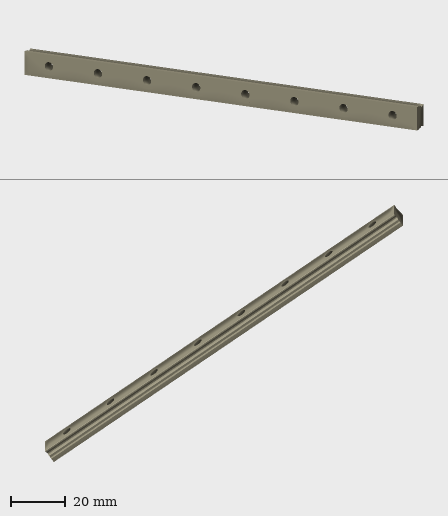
import cadquery as cq

length = 160.0
depth = 5.5
height = 9.0

hole_count = 8
hole_diameter = 3.4
hole_pitch = length / hole_count

back_chamfer = 0.2
back_land_width = 0.5
groove_width = 2.0
groove_floor_width = 0.5
shoulder_width = 0.8
step_width = 0.5

back_half_height = 4.2
groove_half_height = 3.5
shoulder_half_height = 4.2


def rail_body():
    """Extrude the grooved, stepped profile, symmetric about the XY plane."""
    back_y = depth / 2
    chamfer_end = back_y - back_chamfer
    groove_back = chamfer_end - back_land_width
    floor_back = groove_back - (groove_width - groove_floor_width) / 2
    floor_front = floor_back - groove_floor_width
    groove_front = groove_back - groove_width
    shoulder_front = groove_front - shoulder_width
    step_top = shoulder_front - step_width
    upper = [
        (back_y, back_half_height - back_chamfer),
        (chamfer_end, back_half_height),
        (groove_back, back_half_height),
        (floor_back, groove_half_height),
        (floor_front, groove_half_height),
        (groove_front, shoulder_half_height),
        (shoulder_front, shoulder_half_height),
        (step_top, height / 2),
        (-depth / 2, height / 2),
    ]
    lower = [(y, -z) for y, z in reversed(upper)]
    profile = cq.Workplane("YZ").polyline(upper + lower).close()
    return profile.extrude(length / 2, both=True)


def mounting_holes():
    """Evenly pitched cylinders that pass right through the rail along Y."""
    return (
        cq.Workplane("XZ")
        .rarray(hole_pitch, 1.6, hole_count, 1)
        .circle(hole_diameter / 2)
        .extrude(depth, both=True)
    )


result = rail_body().cut(mounting_holes())